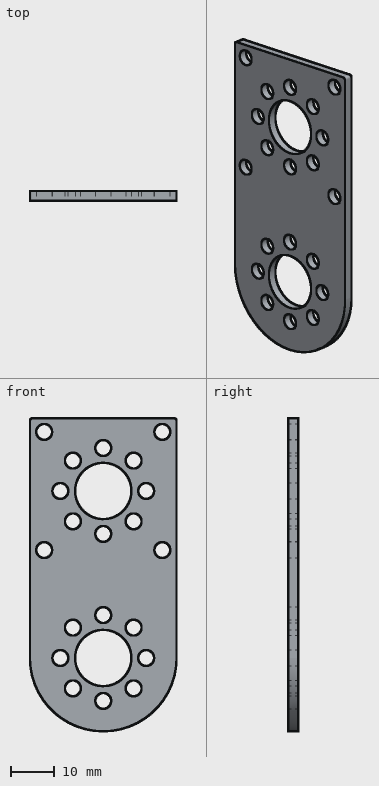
import cadquery as cq

width = 33.55
height = 71.5
thickness = 2.3
end_radius = width / 2
corner_radius = 0.65

hub_spacing = 38.1
bore_diameter = 12.8
screw_diameter = 3.6
bolt_circle_radius = 9.8
bolt_count = 8
corner_hole_spacing = 26.95

lower_hub_z = 0.0
upper_hub_z = lower_hub_z + hub_spacing
top_z = height - end_radius


def make_plate():
    """Flat plate with a full-round lower end and slightly rounded top corners."""
    plate = (
        cq.Workplane("XZ")
        .moveTo(-end_radius, lower_hub_z)
        .threePointArc((0, lower_hub_z - end_radius), (end_radius, lower_hub_z))
        .lineTo(end_radius, top_z)
        .lineTo(-end_radius, top_z)
        .close()
        .extrude(thickness / 2, both=True)
    )
    top_corners = plate.faces(">Z").edges("|Y")
    return top_corners.fillet(corner_radius)


def hole_plane(center_z):
    """Sketch plane on the rear (+Y) face, facing -Y and centred on a hub."""
    return cq.Workplane("XZ", origin=(0, thickness / 2, center_z))


def hub_cutter(center_z):
    """Central bore with its surrounding ring of screw holes."""
    bore = hole_plane(center_z).circle(bore_diameter / 2).extrude(thickness)
    screws = (
        hole_plane(center_z)
        .polarArray(bolt_circle_radius, 0, 360, bolt_count)
        .circle(screw_diameter / 2)
        .extrude(thickness)
    )
    return bore.add(screws).combine()


def corner_hole_cutter(center_z):
    """Square pattern of four screw holes around a hub."""
    return (
        hole_plane(center_z)
        .rect(corner_hole_spacing, corner_hole_spacing, forConstruction=True)
        .vertices()
        .circle(screw_diameter / 2)
        .extrude(thickness)
    )


result = make_plate()
for hub_z in (lower_hub_z, upper_hub_z):
    result = result.cut(hub_cutter(hub_z))
result = result.cut(corner_hole_cutter(upper_hub_z))